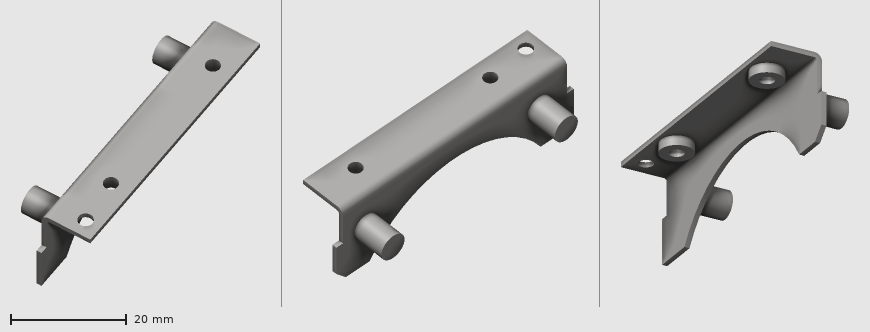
import cadquery as cq
import math


sheet = 1.0
length = 56.05
height = 17.0
shelf_width = 10.1
shelf_length = 52.9
bend_radius = 1.5
shoulder_depth = 8.1
corner_cut_length = 2.25
corner_cut_height = 2.35
arch_half_width = 20.15
arch_top_depth = 5.6

hole_diameter = 2.85
hole_x = 6.95
hole_y = -23.2

bush_x = 6.05
bush_y_places = (17.8, -13.95)
bush_bore = 2.8
bush_neck_diameter = 4.2
bush_flange_diameter = 6.35
bush_flange_thickness = 1.85

pin_diameter = 5.45
pin_length = 6.9
pin_places = ((21.05, -7.6), (-19.85, -7.1))


def make_bent_sheet():
    """L-shaped section with a rounded bend, extruded along the full length."""
    inner_radius = bend_radius - sheet
    outer_mid = bend_radius * (1 - math.sqrt(0.5))
    inner_mid = bend_radius - inner_radius * math.sqrt(0.5)
    return (
        cq.Workplane("XZ")
        .moveTo(0, -height)
        .lineTo(0, -bend_radius)
        .threePointArc((outer_mid, -outer_mid), (bend_radius, 0))
        .lineTo(shelf_width, 0)
        .lineTo(shelf_width, -sheet)
        .lineTo(bend_radius, -sheet)
        .threePointArc((inner_mid, -inner_mid), (sheet, -bend_radius))
        .lineTo(sheet, -height)
        .close()
        .extrude(length / 2, both=True)
    )


def make_web_outline():
    """Side outline with shoulders, arch and cut corner, as deep as the shelf is wide."""
    end = length / 2
    shelf_end = shelf_length / 2
    return (
        cq.Workplane("YZ")
        .moveTo(-shelf_end, 0)
        .lineTo(shelf_end, 0)
        .lineTo(shelf_end, -shoulder_depth)
        .lineTo(end, -shoulder_depth)
        .lineTo(end, -height + corner_cut_height)
        .lineTo(end - corner_cut_length, -height)
        .lineTo(arch_half_width, -height)
        .threePointArc((0, -arch_top_depth), (-arch_half_width, -height))
        .lineTo(-end, -height)
        .lineTo(-end, -shoulder_depth)
        .lineTo(-shelf_end, -shoulder_depth)
        .close()
        .extrude(shelf_width)
    )


def make_bracket():
    bush_points = [(bush_x, y) for y in bush_y_places]
    bush_holes = cq.Workplane("XY").pushPoints(bush_points).circle(bush_neck_diameter / 2).extrude(-sheet)
    plain_hole = cq.Workplane("XY").center(hole_x, hole_y).circle(hole_diameter / 2).extrude(-sheet)
    return make_bent_sheet().intersect(make_web_outline()).cut(bush_holes).cut(plain_hole)


def make_bush(y):
    """Neck filling the shelf hole, flange below the shelf, bore right through."""
    total_height = sheet + bush_flange_thickness
    top = cq.Workplane("XY").center(bush_x, y)
    neck = top.circle(bush_neck_diameter / 2).extrude(-total_height)
    flange = top.workplane(offset=-sheet).circle(bush_flange_diameter / 2).extrude(-bush_flange_thickness)
    bore = top.circle(bush_bore / 2).extrude(-total_height)
    return neck.union(flange).cut(bore)


def make_pin(y, z):
    return cq.Workplane("YZ").center(y, z).circle(pin_diameter / 2).extrude(-pin_length)


bracket = make_bracket()
bushes = [make_bush(y) for y in bush_y_places]
pins = [make_pin(y, z) for y, z in pin_places]

result = cq.Compound.makeCompound([body.solids().val() for body in [bracket, *bushes, *pins]])